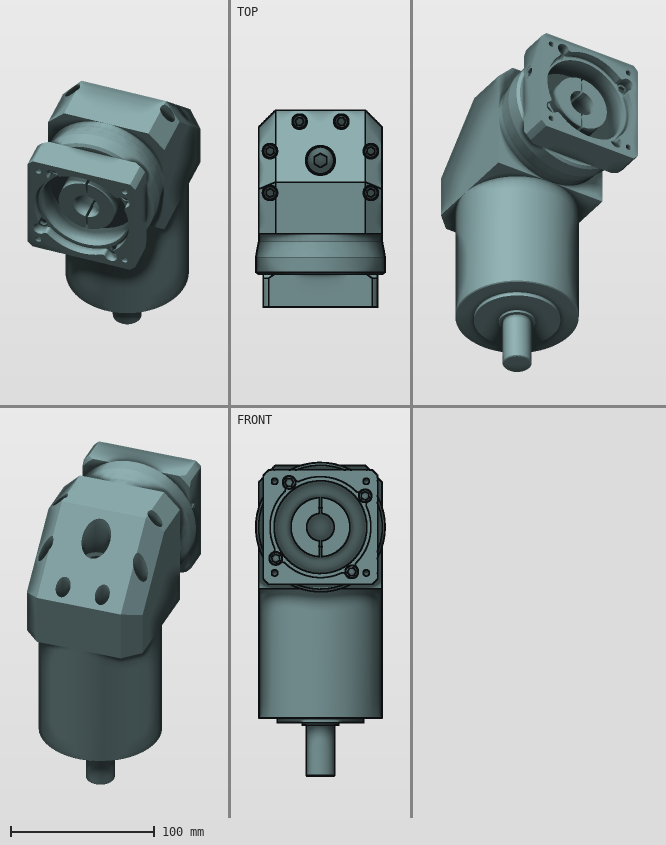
import cadquery as cq
import math


BLOCK_HALF = 43.0
SLOPE_SUM = 36.0
BLOCK_CHAMFER = 11.8
BOLT_CIRCLE_RADIUS = 38.0

BLOCK_SCREW_ANGLES = [-22.5, 22.5, 67.5, 112.5, 157.5, 202.5]
BLOCK_SCREW_HOLE_DIAMETER = 10.5
BLOCK_SCREW_HEAD_DIAMETER = 9.0
BLOCK_SCREW_SEAT_Z = -17.5
SCREW_HEAD_HEIGHT = 5.0
SCREW_HEX_FLATS = 5.2
SCREW_HEX_DEPTH = 2.6

FILLER_Y = 8.0
FILLER_HOLE_DIAMETER = 20.5
FILLER_HEAD_DIAMETER = 18.7
FILLER_SEAT_Z = 6.5
FILLER_HEAD_HEIGHT = 4.4
FILLER_HEX_FLATS = 8.5
FILLER_HEX_DEPTH = 3.3

HOUSING_BOTTOM_Z = -133.0
HOUSING_CHAMFER = 0.7
PILOT_DIAMETER = 60.2
PILOT_HEIGHT = 2.8
COLLAR_DIAMETER = 25.5
COLLAR_HEIGHT = 1.7
SHAFT_DIAMETER = 20.0
SHAFT_CHAMFER = 0.7
OVERALL_HEIGHT = 218.0

FLANGE_DIAMETER = 90.0
FLANGE_RADIUS = FLANGE_DIAMETER / 2
FLANGE_FRONT_Y = -71.0
FLANGE_NECK_END_Y = -48.0
FLANGE_TAPER_END_Y = -59.3
FLANGE_EDGE_LENGTH = 1.5
FLANGE_EDGE_DROP = 2.0

PLATE_SIDE = 79.5
PLATE_FRONT_Y = -94.0
PLATE_CORNER_RADIUS = 53.6
PLATE_BACK_CHAMFER = 2.6
PLATE_DEPTH = FLANGE_FRONT_Y - PLATE_FRONT_Y
PLATE_SPIGOT_RADIUS = 34.9
PLATE_SPIGOT_LENGTH = 3.3
FLANGE_RECESS_Y = FLANGE_FRONT_Y + PLATE_SPIGOT_LENGTH
PLATE_BORE_RADIUS = 32.3
PILOT_RECESS_RADIUS = 35.0
PILOT_RECESS_DEPTH = 6.8
MOTOR_HOLE_OFFSET = 31.8
MOTOR_HOLE_DIAMETER = 4.4
MOTOR_HOLE_DEPTH = 10.0
DRILL_TIP_ANGLE = 118.0
PLATE_SCREW_FIRST_ANGLE = 35.0
PLATE_SCREW_COUNT = 4
PLATE_SCREW_HOLE_DIAMETER = 9.2
PLATE_SCREW_HEAD_DIAMETER = 8.5
PLATE_SCREW_SEAT_DEPTH = 12.6
PLATE_CUSP_FILLET = 2.2

ACCESS_Y = -78.0
ACCESS_Z = 14.4
ACCESS_DIAMETER = 10.0
ACCESS_RECESS = 0.2
ACCESS_HEX_FLATS = 5.9
ACCESS_HEX_DEPTH = 2.6

HUB_DIAMETER = 41.0
HUB_FRONT_Y = -83.7
HUB_BORE_DIAMETER = 19.2
HUB_SLOT_WIDTH = 2.0
HUB_SPIGOT_DIAMETER = 27.0
HUB_SPIGOT_LENGTH = 6.5
HUB_FLOOR_THICKNESS = 2.2


def top_plane(z):
    """Horizontal plane at height z, facing up."""
    return cq.Workplane("XY", origin=(0, 0, z))


def front_plane(y):
    """Upright plane at y whose normal points to -Y."""
    return cq.Workplane("XZ", origin=(0, y, 0))


def polar_points(radius, angles):
    return [
        (radius * math.cos(math.radians(angle)), radius * math.sin(math.radians(angle)))
        for angle in angles
    ]


def hex_diameter(flats):
    """Corner-to-corner size of a hexagon from its size across flats."""
    return flats / math.cos(math.pi / 6)


def make_screw_head(diameter, height, hex_flats, hex_depth):
    """Round head standing on the origin along +Z, with a hexagonal socket in its top."""
    socket = top_plane(height).polygon(6, hex_diameter(hex_flats)).extrude(-hex_depth)
    return top_plane(0).circle(diameter / 2).extrude(height).cut(socket)


def make_block():
    slope_end = SLOPE_SUM - BLOCK_HALF
    body = (
        cq.Workplane("YZ")
        .polyline([
            (-BLOCK_HALF, -BLOCK_HALF),
            (BLOCK_HALF, -BLOCK_HALF),
            (BLOCK_HALF, slope_end),
            (slope_end, BLOCK_HALF),
            (-BLOCK_HALF, BLOCK_HALF),
        ])
        .close()
        .extrude(BLOCK_HALF, both=True)
    )
    rim_edges = body.faces("<X or >X").edges("not (<Y or <Z)")
    body = rim_edges.chamfer(BLOCK_CHAMFER)

    screw_points = polar_points(BOLT_CIRCLE_RADIUS, BLOCK_SCREW_ANGLES)
    screw_seat = top_plane(BLOCK_SCREW_SEAT_Z)
    screw_holes = (
        screw_seat.pushPoints(screw_points)
        .circle(BLOCK_SCREW_HOLE_DIAMETER / 2)
        .extrude(BLOCK_HALF - BLOCK_SCREW_SEAT_Z)
    )
    body = body.cut(screw_holes)
    screw_head = make_screw_head(
        BLOCK_SCREW_HEAD_DIAMETER, SCREW_HEAD_HEIGHT, SCREW_HEX_FLATS, SCREW_HEX_DEPTH
    ).translate((BOLT_CIRCLE_RADIUS, 0, BLOCK_SCREW_SEAT_Z))
    for angle in BLOCK_SCREW_ANGLES:
        body = body.union(screw_head.rotate((0, 0, 0), (0, 0, 1), angle))

    filler_hole = (
        top_plane(FILLER_SEAT_Z)
        .center(0, FILLER_Y)
        .circle(FILLER_HOLE_DIAMETER / 2)
        .extrude(BLOCK_HALF - FILLER_SEAT_Z)
    )
    filler_plug = (
        make_screw_head(FILLER_HEAD_DIAMETER, FILLER_HEAD_HEIGHT, FILLER_HEX_FLATS, FILLER_HEX_DEPTH)
        .rotate((0, 0, 0), (0, 0, 1), 90)
        .translate((0, FILLER_Y, FILLER_SEAT_Z))
    )
    return body.cut(filler_hole).union(filler_plug)


def make_gear_housing():
    barrel = (
        top_plane(HOUSING_BOTTOM_Z)
        .circle(BLOCK_HALF)
        .extrude(-BLOCK_HALF - HOUSING_BOTTOM_Z)
        .faces("<Z")
        .chamfer(HOUSING_CHAMFER)
    )
    pilot = top_plane(HOUSING_BOTTOM_Z).circle(PILOT_DIAMETER / 2).extrude(-PILOT_HEIGHT)
    return barrel.union(pilot)


def make_output_shaft():
    """Shaft with its collar, starting on the underside of the housing pilot."""
    collar_top_z = HOUSING_BOTTOM_Z - PILOT_HEIGHT
    shaft_end_z = FLANGE_RADIUS - OVERALL_HEIGHT
    collar = top_plane(collar_top_z).circle(COLLAR_DIAMETER / 2).extrude(-COLLAR_HEIGHT)
    shaft = (
        top_plane(shaft_end_z)
        .circle(SHAFT_DIAMETER / 2)
        .extrude(collar_top_z - shaft_end_z)
        .faces("<Z")
        .chamfer(SHAFT_CHAMFER)
    )
    return shaft.union(collar)


def make_input_flange():
    flange = (
        cq.Workplane("XY")
        .polyline([
            (0, -BLOCK_HALF),
            (BLOCK_HALF, -BLOCK_HALF),
            (BLOCK_HALF, FLANGE_NECK_END_Y),
            (FLANGE_RADIUS, FLANGE_TAPER_END_Y),
            (FLANGE_RADIUS, FLANGE_FRONT_Y + FLANGE_EDGE_LENGTH),
            (FLANGE_RADIUS - FLANGE_EDGE_DROP, FLANGE_FRONT_Y),
            (0, FLANGE_FRONT_Y),
        ])
        .close()
        .revolve(360, (0, 0, 0), (0, 1, 0))
    )
    recess = front_plane(FLANGE_FRONT_Y).circle(PLATE_SPIGOT_RADIUS).extrude(-PLATE_SPIGOT_LENGTH)
    spigot_socket = (
        front_plane(FLANGE_RECESS_Y).circle(HUB_SPIGOT_DIAMETER / 2).extrude(-HUB_SPIGOT_LENGTH)
    )
    return flange.cut(recess).cut(spigot_socket)


def make_adapter_plate():
    square = front_plane(FLANGE_FRONT_Y).rect(PLATE_SIDE, PLATE_SIDE).extrude(PLATE_DEPTH)
    turned_disc = (
        front_plane(FLANGE_FRONT_Y)
        .circle(PLATE_CORNER_RADIUS)
        .extrude(PLATE_DEPTH)
        .faces(">Y")
        .chamfer(PLATE_BACK_CHAMFER)
    )
    spigot = front_plane(FLANGE_RECESS_Y).circle(PLATE_SPIGOT_RADIUS).extrude(PLATE_SPIGOT_LENGTH)
    plate = square.intersect(turned_disc).union(spigot)

    screw_angles = [
        PLATE_SCREW_FIRST_ANGLE + 360 / PLATE_SCREW_COUNT * i for i in range(PLATE_SCREW_COUNT)
    ]
    screw_points = polar_points(BOLT_CIRCLE_RADIUS, screw_angles)
    front = front_plane(PLATE_FRONT_Y)
    screw_circles = front.pushPoints(screw_points).circle(PLATE_SCREW_HOLE_DIAMETER / 2)
    counterbores = screw_circles.extrude(-PLATE_SCREW_SEAT_DEPTH)
    recess = front.circle(PILOT_RECESS_RADIUS).extrude(-PILOT_RECESS_DEPTH)
    recess_layer = front.rect(PLATE_SIDE, PLATE_SIDE).extrude(-PILOT_RECESS_DEPTH)
    cusped_mouth = recess.union(counterbores.intersect(recess_layer))
    mouth = cusped_mouth.edges("|Y").fillet(PLATE_CUSP_FILLET)
    bore = front.circle(PLATE_BORE_RADIUS).extrude(-PLATE_DEPTH - PLATE_SPIGOT_LENGTH)
    plate = plate.cut(mouth).cut(bore).cut(counterbores)
    screw_head = (
        make_screw_head(
            PLATE_SCREW_HEAD_DIAMETER, SCREW_HEAD_HEIGHT, SCREW_HEX_FLATS, SCREW_HEX_DEPTH
        )
        .rotate((0, 0, 0), (1, 0, 0), 90)
        .translate((BOLT_CIRCLE_RADIUS, PLATE_FRONT_Y + PLATE_SCREW_SEAT_DEPTH, 0))
    )
    for angle in screw_angles:
        plate = plate.union(screw_head.rotate((0, 0, 0), (0, 1, 0), -angle))

    tip_radius = MOTOR_HOLE_DIAMETER / 2
    tip_depth = tip_radius / math.tan(math.radians(DRILL_TIP_ANGLE / 2))
    drill = (
        cq.Workplane("XY")
        .polyline([
            (0, 0),
            (tip_radius, 0),
            (tip_radius, MOTOR_HOLE_DEPTH),
            (0, MOTOR_HOLE_DEPTH + tip_depth),
        ])
        .close()
        .revolve(360, (0, 0, 0), (0, 1, 0))
    )
    for x_side in (-1, 1):
        for z_side in (-1, 1):
            place = (x_side * MOTOR_HOLE_OFFSET, PLATE_FRONT_Y, z_side * MOTOR_HOLE_OFFSET)
            plate = plate.cut(drill.translate(place))

    side = cq.Workplane("YZ", origin=(-PLATE_SIDE / 2, ACCESS_Y, ACCESS_Z))
    recess = side.circle(ACCESS_DIAMETER / 2).extrude(ACCESS_RECESS)
    socket = (
        side.transformed(rotate=(0, 0, 30))
        .polygon(6, hex_diameter(ACCESS_HEX_FLATS))
        .extrude(ACCESS_HEX_DEPTH)
    )
    return plate.cut(recess).cut(socket)


def make_clamp_hub():
    """Split hub whose spigot sits in the flange socket."""
    length = FLANGE_RECESS_Y - HUB_FRONT_Y
    full_length = length + HUB_SPIGOT_LENGTH
    bore_depth = full_length - HUB_FLOOR_THICKNESS
    front = front_plane(HUB_FRONT_Y)
    hub = front.circle(HUB_DIAMETER / 2).extrude(-length)
    spigot = front.circle(HUB_SPIGOT_DIAMETER / 2).extrude(-full_length)
    bore = front.circle(HUB_BORE_DIAMETER / 2).extrude(-bore_depth)
    slot = front.rect(HUB_SLOT_WIDTH, HUB_DIAMETER).extrude(-bore_depth)
    return hub.union(spigot).cut(bore).cut(slot)


block = make_block()
gear_housing = make_gear_housing()
output_shaft = make_output_shaft()
input_flange = make_input_flange()
adapter_plate = make_adapter_plate()
clamp_hub = make_clamp_hub()

result = cq.Compound.makeCompound([
    block.val(),
    gear_housing.val(),
    output_shaft.val(),
    input_flange.val(),
    adapter_plate.val(),
    clamp_hub.val(),
])